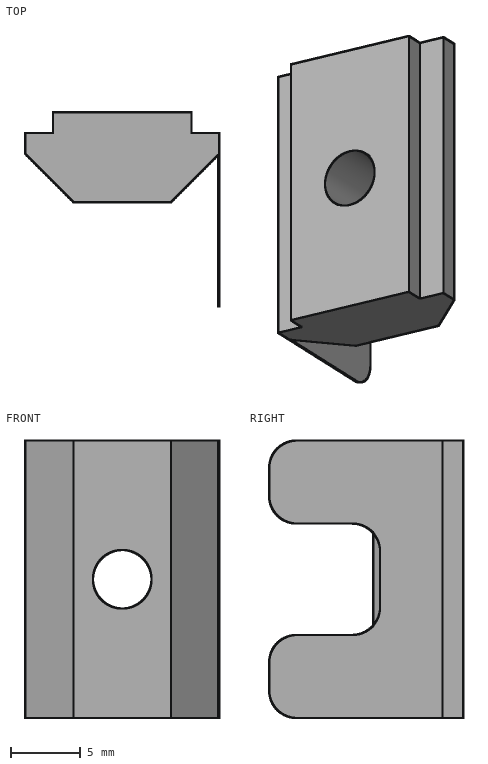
import cadquery as cq

length = 20.0
width = 14.0
ridge_width = 10.0
nose_width = 7.0
ridge_height = 1.5
flange_height = 1.5
hole_diameter = 4.2

plate_thickness = 0.1
overall_depth = 14.0
slot_width = 8.0
slot_floor_depth = 6.0
corner_radius = 2.0

back_y = overall_depth / 2
front_y = -overall_depth / 2
shoulder_y = back_y - ridge_height
flange_y = shoulder_y - flange_height
nose_y = flange_y - (width - nose_width) / 2
slot_floor_y = back_y - slot_floor_depth


def make_body():
    """T-slot nut with a back ridge and sloping flanks."""
    right_half = [
        (ridge_width / 2, back_y),
        (ridge_width / 2, shoulder_y),
        (width / 2, shoulder_y),
        (width / 2, flange_y),
        (nose_width / 2, nose_y),
    ]
    left_half = [(-x, y) for x, y in reversed(right_half)]
    body = cq.Workplane("XY").polyline(right_half + left_half).close().extrude(length / 2, both=True)
    hole = cq.Workplane("XZ").circle(hole_diameter / 2).extrude(overall_depth, both=True)
    return body.cut(hole)


def make_spring_plate():
    """Forked plate with rounded arm ends and a slot with a rounded floor."""
    inner_x = width / 2 - plate_thickness
    plate = (
        cq.Workplane("YZ", origin=(inner_x, 0, 0))
        .center((front_y + flange_y) / 2, 0)
        .rect(flange_y - front_y, length)
        .extrude(plate_thickness)
    )
    slot = (
        cq.Workplane("YZ", origin=(inner_x, 0, 0))
        .center((front_y + slot_floor_y) / 2, 0)
        .rect(slot_floor_y - front_y, slot_width)
        .extrude(plate_thickness)
    )
    return plate.cut(slot).edges("|X and (not >Y)").fillet(corner_radius)



result = make_body().union(make_spring_plate())